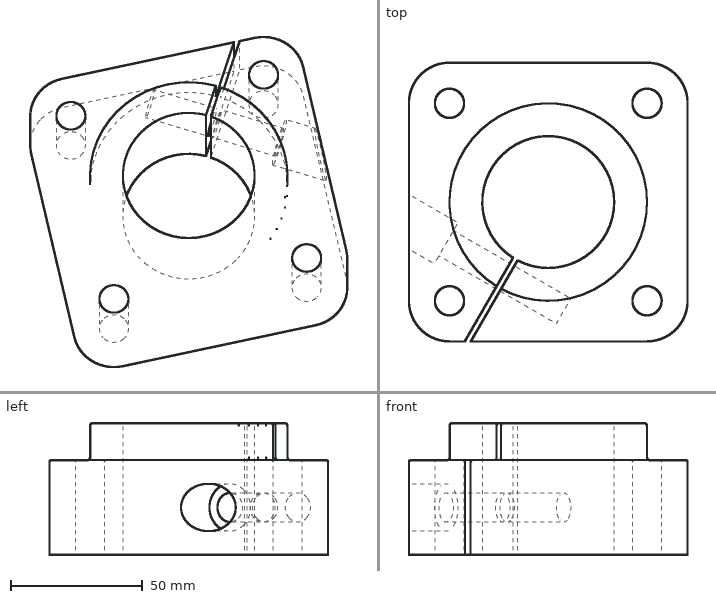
import cadquery as cq
import math

side = 106.0
flange_height = 36.0
corner_radius = 15.5
edge_size = 1.0

total_height = 50.0
hub_diameter = 75.0
bore_diameter = 50.0

hole_spacing = 75.0
hole_diameter = 11.0

slit_width = 1.9
slit_angle = 30.0

screw_offset = 33.0
screw_diameter = 11.0
head_diameter = 18.0
head_seat_distance = 25.8
screw_end_distance = head_seat_distance

slit_radians = math.radians(slit_angle)
slit_direction = cq.Vector(-math.sin(slit_radians), -math.cos(slit_radians), 0)
screw_direction = cq.Vector(math.cos(slit_radians), -math.sin(slit_radians), 0)


def make_body():
    """Flange with rounded corners and a hub standing on it."""
    flange = (
        cq.Workplane("XY")
        .rect(side, side)
        .extrude(flange_height)
        .edges("|Z")
        .fillet(corner_radius)
        .faces(">Z")
        .edges()
        .fillet(edge_size)
    )
    hub = cq.Workplane("XY").circle(hub_diameter / 2).extrude(total_height)
    hub = hub.faces(">Z").edges().fillet(edge_size)
    return flange.union(hub)


def make_root_fillet():
    """Concave ring that blends the hub into the flange."""
    hub_radius = hub_diameter / 2
    outer_radius = hub_radius + edge_size
    arc_reach = edge_size * (1 - math.sqrt(0.5))
    return (
        cq.Workplane("XZ")
        .moveTo(bore_diameter / 2, flange_height)
        .lineTo(outer_radius, flange_height)
        .threePointArc(
            (hub_radius + arc_reach, flange_height + arc_reach),
            (hub_radius, flange_height + edge_size),
        )
        .lineTo(bore_diameter / 2, flange_height + edge_size)
        .close()
        .revolve(360, (0, 0, 0), (0, 1, 0))
    )


def make_slit():
    """Thin slab from the bore axis to beyond the flange edge."""
    return (
        cq.Workplane("XY")
        .center(0, -side / 2)
        .rect(slit_width, side)
        .extrude(total_height)
        .rotate((0, 0, 0), (0, 0, 1), -slit_angle)
    )


def make_screw_hole():
    """Blind screw hole with a head counterbore open to the -X face."""
    axis_point = slit_direction * screw_offset + cq.Vector(0, 0, flange_height / 2)
    head_seat = axis_point - screw_direction * head_seat_distance
    shank = cq.Solid.makeCylinder(
        screw_diameter / 2, head_seat_distance + screw_end_distance, head_seat, screw_direction
    )
    head = cq.Solid.makeCylinder(head_diameter / 2, side / 2, head_seat, screw_direction * -1)
    return cq.Workplane("XY").add(shank).union(cq.Workplane("XY").add(head))


bore = cq.Workplane("XY").circle(bore_diameter / 2).extrude(total_height)
mounting_holes = (
    cq.Workplane("XY")
    .rect(hole_spacing, hole_spacing, forConstruction=True)
    .vertices()
    .circle(hole_diameter / 2)
    .extrude(flange_height)
)

result = (
    make_body()
    .union(make_root_fillet())
    .cut(bore)
    .cut(mounting_holes)
    .cut(make_slit())
    .cut(make_screw_hole())
)